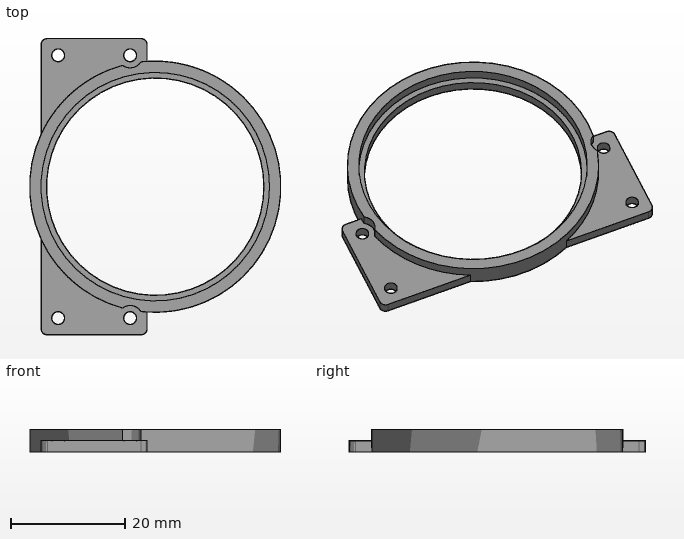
import cadquery as cq

ring_diameter = 44.0
bore_diameter = 38.0
seat_diameter = 40.0
ring_height = 4.0

ear_thickness = 2.0
lip_height = ear_thickness
ear_left = -20.0
ear_right = -1.4
ear_span = 51.9
ear_corner_radius = 1.1

hole_diameter = 2.2
hole_xs = (-17.0, -4.4)
hole_y = 23.0
head_clearance_diameter = 4.4
head_clearance_x = hole_xs[1]


def cylinder(diameter, bottom, top, x=0.0, y=0.0):
    """Vertical cylinder between two heights."""
    return (
        cq.Workplane("XY", origin=(x, y, bottom))
        .circle(diameter / 2)
        .extrude(top - bottom)
    )


def make_ear_plate():
    """Rounded rectangle whose two ends form the ears; the bore removes its middle."""
    width = ear_right - ear_left
    return (
        cq.Workplane("XY", origin=((ear_left + ear_right) / 2, 0, 0))
        .rect(width, ear_span)
        .extrude(ear_thickness)
        .edges("|Z")
        .fillet(ear_corner_radius)
    )


def cut_ring_opening(body):
    """Through bore with a wider seat above the lip."""
    body = body.cut(cylinder(bore_diameter, 0, ring_height))
    return body.cut(cylinder(seat_diameter, lip_height, ring_height))


def cut_screw_holes(body):
    """Screw holes in both ears, with head reliefs that notch the ring wall down to the ear."""
    for y in (-hole_y, hole_y):
        for x in hole_xs:
            body = body.cut(cylinder(hole_diameter, 0, ring_height, x, y))
        relief = cylinder(head_clearance_diameter, ear_thickness, ring_height, head_clearance_x, y)
        body = body.cut(relief)
    return body


body = make_ear_plate().union(cylinder(ring_diameter, 0, ring_height))
body = cut_ring_opening(body)
result = cut_screw_holes(body)